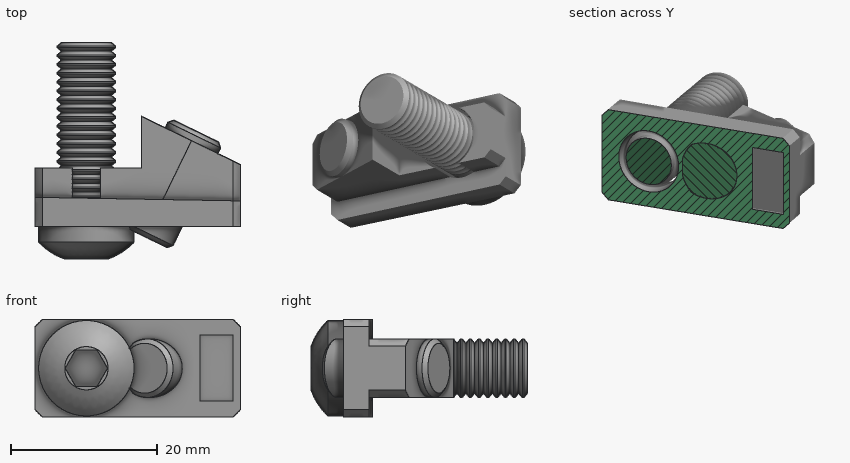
import cadquery as cq
import math


length = 28.0
screw_to_end = 7.0
plate_height = 13.3
plate_thickness = 4.0
plate_taper = math.tan(math.radians(1.0))
corner_chamfer = 1.0
left_end = -screw_to_end
right_end = left_end + length

block_height = 8.0
shoulder_depth = 8.0
shoulder_length = 14.5
step_x = left_end + shoulder_length
tilt = 26.0
block_peak = 15.05
block_low = block_peak - (right_end - step_x) * math.tan(math.radians(tilt))
screw_hole_diameter = 8.85

recess_width = 4.5
recess_height = 9.0
recess_depth = 0.3
recess_edge_gap = 1.0

pin_diameter = 8.0
pin_chamfer = 0.6
pin_front = (7.95, -1.36)
pin_length = 16.0

thread_diameter = 8.0
thread_root_diameter = 6.8
thread_pitch = 1.2
thread_crest = 0.2
shank_length = 25.1
head_diameter = 13.0
head_rim = 2.1
head_height = 4.4
head_flat_diameter = 5.9
head_bulge = 0.25
socket_flats = 5.0
socket_depth = 4.0


def along_y(outline, start, depth):
    """Extrude an outline drawn in X and Z toward +Y, beginning at Y = start."""
    return outline.extrude(-depth).translate((0, start, 0))


def chamfered_bar(profile, height):
    """Extrude an X-Y profile to a centred height with chamfered outer ends."""
    bar = cq.Workplane("XY").polyline(profile).close().extrude(height / 2, both=True)
    middle = (left_end + right_end) / 2
    ends = (
        cq.Workplane("XZ").center(middle, 0).rect(length, height)
        .extrude(2 * block_peak, both=True)
        .edges("|Y").chamfer(corner_chamfer)
    )
    return bar.intersect(ends)


def tilted_pin():
    """Round pin square to the sloping face, chamfered at both ends and relieved around the screw head."""
    angle = math.radians(tilt)
    axis = (math.sin(angle), math.cos(angle), 0)
    start = cq.Plane(origin=(*pin_front, 0), xDir=(0, 0, 1), normal=axis)
    pin = (
        cq.Workplane(start).circle(pin_diameter / 2).extrude(pin_length)
        .faces("%PLANE").edges().chamfer(pin_chamfer)
    )
    head_space = along_y(cq.Workplane("XZ").circle(head_diameter / 2), -head_height, head_height)
    return pin.cut(head_space)


def clamp_body(pin):
    """Tapered plate and wedge block, bored for the screw and the pin."""
    back_right = plate_thickness - length * plate_taper
    plate = chamfered_bar(
        [(left_end, 0), (right_end, 0), (right_end, back_right), (left_end, plate_thickness)],
        plate_height,
    )
    block = chamfered_bar(
        [
            (left_end, 0),
            (right_end, 0),
            (right_end, block_low),
            (step_x, block_peak),
            (step_x, shoulder_depth),
            (left_end, shoulder_depth),
        ],
        block_height,
    )
    screw_hole = along_y(
        cq.Workplane("XZ").circle(screw_hole_diameter / 2), 0, shoulder_depth
    )
    recess_x = right_end - recess_edge_gap - recess_width / 2
    recess = along_y(
        cq.Workplane("XZ").center(recess_x, 0).rect(recess_width, recess_height), 0, recess_depth
    )
    return plate.union(block).cut(screw_hole).cut(recess).cut(pin)


def button_screw():
    """Domed-head screw with ring-shaped thread ridges and a hexagon socket."""
    rim = head_diameter / 2
    flat = head_flat_diameter / 2
    root = thread_root_diameter / 2
    crest = thread_diameter / 2
    dome_rise = head_height - head_rim
    dome_run = rim - flat
    chord = math.hypot(dome_rise, dome_run)
    dome_middle = (
        (rim + flat) / 2 + head_bulge * dome_rise / chord,
        -(head_rim + head_height) / 2 - head_bulge * dome_run / chord,
    )
    profile = (
        cq.Workplane("XY").moveTo(0, -head_height).lineTo(flat, -head_height)
        .threePointArc(dome_middle, (rim, -head_rim))
        .lineTo(rim, 0).lineTo(root, 0)
    )
    ridges = int(shank_length / thread_pitch)
    first_ridge = shank_length - ridges * thread_pitch
    for ridge in range(ridges):
        base = first_ridge + ridge * thread_pitch
        middle = base + thread_pitch / 2
        profile = (
            profile.lineTo(root, base)
            .lineTo(crest, middle - thread_crest / 2)
            .lineTo(crest, middle + thread_crest / 2)
        )
    profile = profile.lineTo(root, shank_length).lineTo(0, shank_length).close()
    screw = profile.revolve(360, (0, 0, 0), (0, 1, 0))
    socket_corners = socket_flats / math.cos(math.pi / 6)
    socket = along_y(cq.Workplane("XZ").polygon(6, socket_corners), -head_height, socket_depth)
    return screw.cut(socket)


pin = tilted_pin()
body = clamp_body(pin)
screw = button_screw()
result = cq.Compound.makeCompound([
    body.solids().val(),
    pin.solids().val(),
    screw.solids().val(),
])